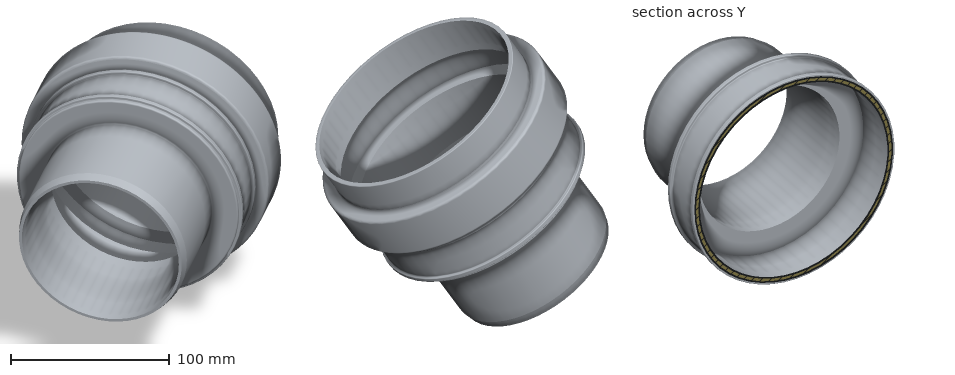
import cadquery as cq
import math


total_length = 152.0

spigot_diameter = 110.2
spigot_bore_diameter = 103.2
tip_taper_length = 6.0
tip_taper_angle = 15.0

body_diameter = 144.3
wall = 3.0
body_front_y = 62.0
shoulder_fillet = 1.0
body_edge_fillet = 1.0
mouth_edge_fillet = 0.5

collar_diameter = 162.5
collar_middle_y = 113.25
collar_rim_width = 29.5
collar_face_lean = 8.0
collar_rim_fillet = 1.8
collar_root_fillet = 1.0

rib_diameter = 148.3
rib_width = 3.0
rib_middle_positions = (66.0, 93.8)
rib_fillet = 0.5
rib_face_lean = 0

socket_diameter = body_diameter - 2 * wall
groove_width = collar_rim_width - 2 * wall
groove_front_y = collar_middle_y - groove_width / 2
groove_diameter = collar_diameter - 2 * wall
tip_taper_depth = tip_taper_length * math.tan(math.radians(tip_taper_angle))


def disc(diameter, start_y, end_y):
    """Solid disc about the Y axis between two Y positions."""
    plane = cq.Workplane("XZ", origin=(0, start_y, 0))
    return plane.circle(diameter / 2).extrude(start_y - end_y)


def fillet_circles(body, diameter, y_positions, fillet_radius):
    """Round the circular edges that have the given diameter and Y positions."""
    tolerance = 0.01
    edges = [
        edge
        for edge in body.edges("%CIRCLE").vals()
        if abs(edge.radius() - diameter / 2) < tolerance
        and any(abs(edge.Center().y - y) < tolerance for y in y_positions)
    ]
    return body.newObject(edges).fillet(fillet_radius)


def add_band(body, diameter, middle_y, rim_width, face_lean, rim_fillet, root_fillet):
    """Add a raised band around the body, rounded at its rims and where it meets the body."""
    root_radius = body_diameter / 2
    rim_radius = diameter / 2
    rim_half = rim_width / 2
    root_half = rim_half + (rim_radius - root_radius) * math.tan(math.radians(face_lean))
    profile = [
        (0, middle_y - root_half),
        (root_radius, middle_y - root_half),
        (rim_radius, middle_y - rim_half),
        (rim_radius, middle_y + rim_half),
        (root_radius, middle_y + root_half),
        (0, middle_y + root_half),
    ]
    band = cq.Workplane("XY").polyline(profile).close().revolve(360, (0, 0, 0), (0, 1, 0))
    body = body.union(band)
    rims = (middle_y - rim_half, middle_y + rim_half)
    roots = (middle_y - root_half, middle_y + root_half)
    body = fillet_circles(body, diameter, rims, rim_fillet)
    return fillet_circles(body, body_diameter, roots, root_fillet)


def make_spigot():
    """Narrow pipe with a tapered tip."""
    spigot = disc(spigot_diameter, 0, body_front_y)
    return spigot.faces("<Y").chamfer(tip_taper_length, tip_taper_depth)


def make_outside():
    """Outer shape of the reducer, before it is hollowed."""
    outside = make_spigot().union(disc(body_diameter, body_front_y, total_length))
    outside = fillet_circles(outside, spigot_diameter, [body_front_y], shoulder_fillet)
    outside = fillet_circles(outside, body_diameter, [body_front_y], body_edge_fillet)
    outside = fillet_circles(outside, body_diameter, [total_length], mouth_edge_fillet)
    outside = add_band(
        outside,
        collar_diameter,
        collar_middle_y,
        collar_rim_width,
        collar_face_lean,
        collar_rim_fillet,
        collar_root_fillet,
    )
    for rib_y in rib_middle_positions:
        outside = add_band(outside, rib_diameter, rib_y, rib_width, rib_face_lean, rib_fillet, rib_fillet)
    return outside


def make_cavity():
    """Spigot bore, socket bore and the groove inside the collar."""
    bore = disc(spigot_bore_diameter, 0, total_length)
    socket = disc(socket_diameter, body_front_y + wall, total_length)
    groove = disc(groove_diameter, groove_front_y, groove_front_y + groove_width)
    return bore.union(socket).union(groove)


result = make_outside().cut(make_cavity())